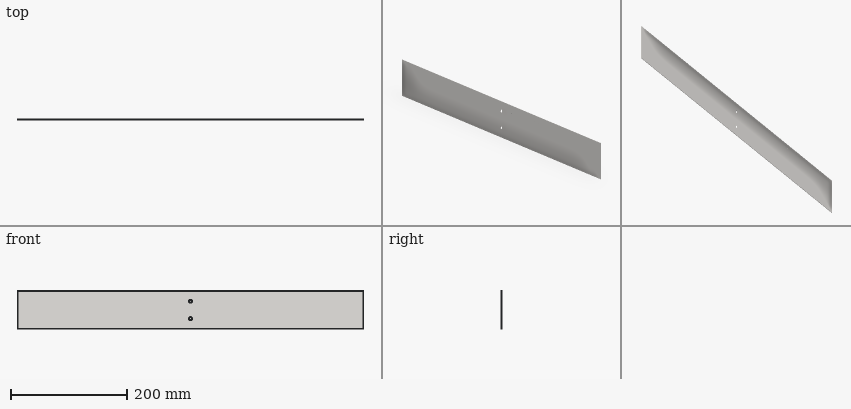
import cadquery as cq

length = 594.0
thickness = 0.8
height = 65.0

hole_diameter = 5.0
hole_spacing = 30.0


def make_strip():
    """Thin rectangular sheet standing in the XZ plane, centred on the origin."""
    return cq.Workplane("XY").box(length, thickness, height)


def drill_holes(strip):
    """Two holes through the thickness, one above the other at mid length."""
    return (
        strip.faces("<Y")
        .workplane(centerOption="CenterOfBoundBox")
        .rarray(1, hole_spacing, 1, 2)
        .hole(hole_diameter)
    )


result = drill_holes(make_strip())